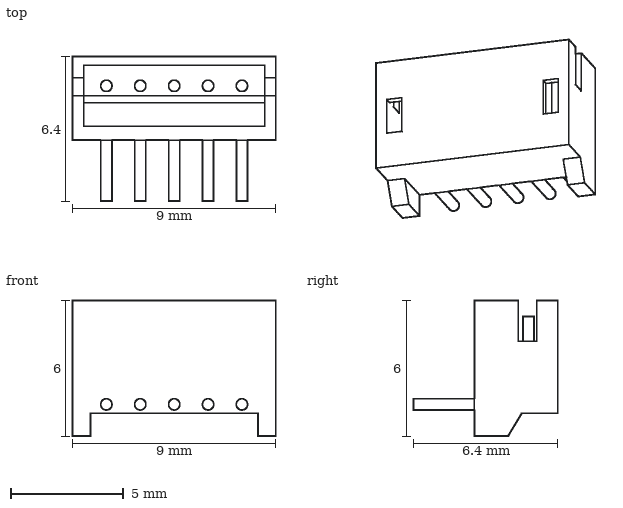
import cadquery as cq

LENGTH = 9.0
DEPTH = 3.7
HEIGHT = 6.0
LEG_HEIGHT = 1.0
LEG_WIDTH = 0.8
LEG_DEPTH_BOTTOM = 1.5
LEG_DEPTH_TOP = 2.1

END_WALL = 0.5
FRONT_WALL = 0.6
BACK_WALL = 0.4
FRONT_FLOOR_Z = 2.0
FLOOR_STEP = 0.6
FLOOR_STEP_RUN = 0.3

SLOT_WIDTH = 0.8
SLOT_DEPTH = 1.8
SLOT_FROM_BACK = 0.95

WINDOW_WIDTH = 0.7

PIN_COUNT = 5
PIN_PITCH = 1.5
PIN_DIAMETER = 0.5
PIN_FROM_BACK = 1.3
PIN_TIP_BELOW_RIM = 0.7
PIN_TAIL_ABOVE_BODY_BASE = 0.4
PIN_TAIL_LENGTH = 2.7

cavity_length = LENGTH - 2 * END_WALL
cavity_back_y = DEPTH - BACK_WALL
slot_back_y = DEPTH - SLOT_FROM_BACK
slot_front_y = slot_back_y - SLOT_WIDTH
slot_floor_z = HEIGHT - SLOT_DEPTH
back_floor_z = FRONT_FLOOR_Z + FLOOR_STEP
pin_y = DEPTH - PIN_FROM_BACK
pin_tip_z = HEIGHT - PIN_TIP_BELOW_RIM
pin_tail_z = LEG_HEIGHT + PIN_TAIL_ABOVE_BODY_BASE


def box(x_range, y_range, z_range):
    """Block spanning the given (low, high) ranges."""
    size = [high - low for low, high in (x_range, y_range, z_range)]
    corner = (x_range[0], y_range[0], z_range[0])
    return cq.Workplane("XY").box(*size, centered=False).translate(corner)


def extrude_side_profile(points, length):
    """Extrude a (Y, Z) outline symmetrically about X = 0."""
    return cq.Workplane("YZ").polyline(points).close().extrude(length / 2, both=True)


def make_housing():
    """Side outline with slanted legs, cleared between the two end legs."""
    outline = [
        (0, 0),
        (LEG_DEPTH_BOTTOM, 0),
        (LEG_DEPTH_TOP, LEG_HEIGHT),
        (DEPTH, LEG_HEIGHT),
        (DEPTH, HEIGHT),
        (0, HEIGHT),
    ]
    leg_inner_x = LENGTH / 2 - LEG_WIDTH
    leg_gap = box((-leg_inner_x, leg_inner_x), (0, DEPTH), (0, LEG_HEIGHT))
    return extrude_side_profile(outline, LENGTH).cut(leg_gap)


def make_cavity():
    """Pocket whose floor slopes down from the pin row to a deeper front strip."""
    outline = [
        (FRONT_WALL, HEIGHT),
        (FRONT_WALL, FRONT_FLOOR_Z),
        (slot_front_y - FLOOR_STEP_RUN, FRONT_FLOOR_Z),
        (slot_front_y, back_floor_z),
        (cavity_back_y, back_floor_z),
        (cavity_back_y, HEIGHT),
    ]
    return extrude_side_profile(outline, cavity_length)


def make_slots():
    """One cutter that notches both end walls down from the rim."""
    half_length = LENGTH / 2
    return box((-half_length, half_length), (slot_front_y, slot_back_y), (slot_floor_z, HEIGHT))


def make_window(side):
    """Back-wall opening from the cavity floor to slot-floor level; side is -1 or +1."""
    outer_x = side * cavity_length / 2
    inner_x = outer_x - side * WINDOW_WIDTH
    x_range = sorted((outer_x, inner_x))
    return box(x_range, (cavity_back_y, DEPTH), (back_floor_z, slot_floor_z))


def make_pin(x):
    """Upright contact joined inside the housing to a tail leaving the front face."""
    radius = PIN_DIAMETER / 2
    contact = (
        cq.Workplane("XY", origin=(x, pin_y, pin_tail_z))
        .circle(radius)
        .extrude(pin_tip_z - pin_tail_z)
    )
    tail = (
        cq.Workplane("XZ", origin=(x, pin_y, pin_tail_z))
        .circle(radius)
        .extrude(pin_y + PIN_TAIL_LENGTH)
    )
    return contact.union(tail)


result = make_housing().cut(make_cavity()).cut(make_slots())
for side in (-1, 1):
    result = result.cut(make_window(side))
for index in range(PIN_COUNT):
    pin_x = (index - (PIN_COUNT - 1) / 2) * PIN_PITCH
    result = result.union(make_pin(pin_x))